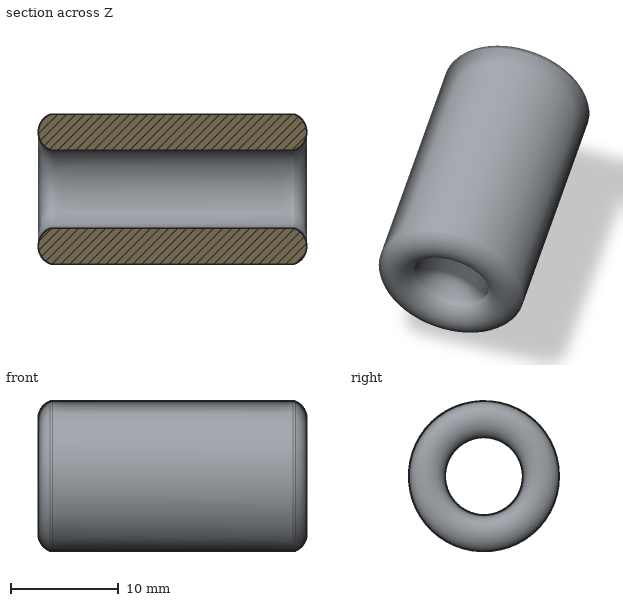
import cadquery as cq
import math

length = 25.0
outer_diameter = 14.0
bore_diameter = 7.2
end_radius = 1.8
corner_radius = 0.5

outer_radius = outer_diameter / 2
bore_radius = bore_diameter / 2
half_length = length / 2
half_wall = (outer_radius - bore_radius) / 2
middle_radius = bore_radius + half_wall

end_center = half_length - end_radius
corner_offset = half_wall - corner_radius
center_spacing = end_radius - corner_radius
corner_center = end_center + math.sqrt(center_spacing**2 - corner_offset**2)
corner_angle = math.asin(corner_offset / center_spacing)


def arc_point(center_x, offset, radius, angle):
    """Point on an arc, as X and distance from the middle of the wall."""
    return center_x + radius * math.cos(angle), offset + radius * math.sin(angle)


join_x, join_offset = arc_point(end_center, 0, end_radius, corner_angle)
blend_angle = (corner_angle + math.pi / 2) / 2
blend_x, blend_offset = arc_point(corner_center, corner_offset, corner_radius, blend_angle)


def add_end(profile, end, wall):
    """Round one end (-1 or +1), starting from wall +1 (outer) or -1 (bore)."""

    def place(x, offset, side):
        return end * x, middle_radius + side * offset

    return (
        profile
        .threePointArc(place(blend_x, blend_offset, wall), place(join_x, join_offset, wall))
        .threePointArc(place(half_length, 0, wall), place(join_x, join_offset, -wall))
        .threePointArc(place(blend_x, blend_offset, -wall), place(corner_center, half_wall, -wall))
    )


profile = cq.Workplane("XY").moveTo(-corner_center, outer_radius)
profile = profile.lineTo(corner_center, outer_radius)
profile = add_end(profile, end=1, wall=1)
profile = profile.lineTo(-corner_center, bore_radius)
profile = add_end(profile, end=-1, wall=-1)
result = profile.close().revolve(360, (0, 0, 0), (1, 0, 0))